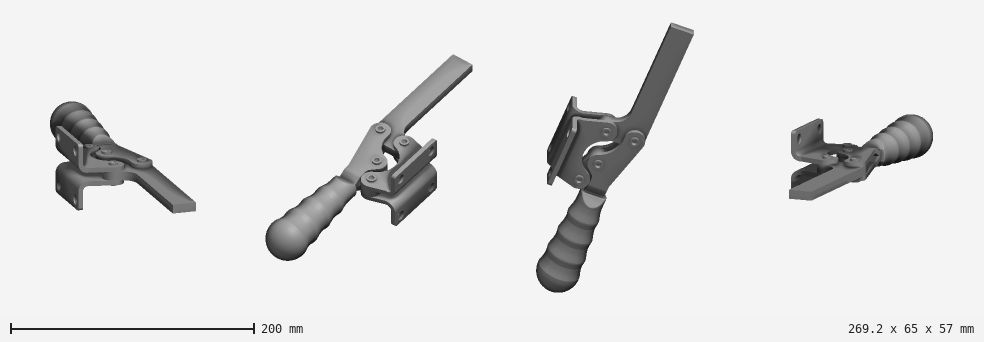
import cadquery as cq
import math


overall_length = 269.2
overall_height = 65.0
base_size = 57.0
handle_end_x = -133.8
bar_end_x = handle_end_x + overall_length

sheet = 4.0
bar_thickness = 7.5
plate_inner_z = bar_thickness / 2
plate_outer_z = plate_inner_z + sheet

ear_radius = 9.0
rear_base_pivot = (-24.8, 27.2)
front_base_pivot = (25.3, 31.5)
lever_link_pivot = (-5.7, 36.3)
lever_bar_pivot = (25.3, overall_height - ear_radius)

bend_radius = 8.0
flank_start_y = 9.7
valley_radius = 18.3
flange_corner_radius = 2.7
mount_hole_diameter = 8.5
mount_hole_pitch_x = 41.2
mount_hole_pitch_z = 42.0

neck_bottom_y = 36.3
neck_top_y = 52.5
bend_low_x = -34.2
bend_high_x = -28.0
plate_start_x = -26.0
bend_round = 5.5
top_slope_start_x = -23.0
lever_hollow_radius = 20.7
lever_inner_fillet = 4.0

bar_depth = 20.2
bar_end_radius = 8.5
bar_heel_fillet = 13.2

rivet_head_radius = 4.0
rivet_head_height = 2.0
rivet_dimple_radius = 2.5

grip_axis_y = 44.7
knob_radius = 18.3
knob_end_x = -113.5
valley_start_x = -102.5
valley_start_radius = 16.1
rib_count = 3
rib_pitch = 18.8
taper_per_rib = 1.55
rib_crest_start = 4.8
rib_crest_end = 6.2
rib_end = 8.3
rib_crest_rise = 0.67
rib_end_rise = 0.13
grip_end_x = -36.3
grip_end_round = 1.0
grip_bevel_start_x = -44.5
grip_bevel_end_z = 5.5
neck_insert = 5.5


def polar(center, radius, angle):
    """Point at an angle (radians) on a circle."""
    return (center[0] + radius * math.cos(angle), center[1] + radius * math.sin(angle))


def direction(start, end):
    """Angle of the line from start to end."""
    return math.atan2(end[1] - start[1], end[0] - start[0])


def tangent_angle(center, radius, point, side):
    """Angle on the circle where a line from an outside point touches it."""
    spread = math.acos(radius / math.dist(center, point))
    return direction(center, point) + side * spread


def both_sides(body):
    """The body together with its mirror image about Z = 0."""
    return body.union(body.mirror("XY"))


def make_base_side():
    half = base_size / 2
    rear, front = rear_base_pivot, front_base_pivot

    half_span = math.dist(rear, front) / 2
    rise = math.sqrt((valley_radius + ear_radius) ** 2 - half_span ** 2)
    middle = ((rear[0] + front[0]) / 2, (rear[1] + front[1]) / 2)
    valley_axis = direction(rear, front) + math.pi / 2
    valley = polar(middle, rise, valley_axis)

    rear_flank = tangent_angle(rear, ear_radius, (-half, flank_start_y), -1)
    front_flank = tangent_angle(front, ear_radius, (half, flank_start_y), 1)
    ear = (
        cq.Workplane("XY", origin=(0, 0, plate_inner_z))
        .moveTo(-half, bend_radius)
        .lineTo(-half, flank_start_y)
        .lineTo(*polar(rear, ear_radius, rear_flank))
        .threePointArc(
            polar(rear, ear_radius, math.radians(120)),
            polar(rear, ear_radius, direction(rear, valley)),
        )
        .threePointArc(
            polar(valley, valley_radius, valley_axis + math.pi),
            polar(front, ear_radius, direction(front, valley)),
        )
        .threePointArc(
            polar(front, ear_radius, math.radians(60)),
            polar(front, ear_radius, front_flank),
        )
        .lineTo(half, flank_start_y)
        .lineTo(half, bend_radius)
        .close()
        .extrude(sheet)
    )

    bend_center = (bend_radius, plate_inner_z + bend_radius)
    bend_middle = math.radians(225)
    inner_radius = bend_radius - sheet
    flange = (
        cq.Workplane("YZ", origin=(-half, 0, 0))
        .moveTo(bend_radius, plate_inner_z)
        .threePointArc(polar(bend_center, bend_radius, bend_middle), (0, bend_center[1]))
        .lineTo(0, half)
        .lineTo(sheet, half)
        .lineTo(sheet, bend_center[1])
        .threePointArc(polar(bend_center, inner_radius, bend_middle), (bend_radius, plate_outer_z))
        .close()
        .extrude(base_size)
    )
    flange = flange.faces(">Z").edges("|Y").fillet(flange_corner_radius)
    holes = (
        cq.Workplane("XZ")
        .pushPoints([(side * mount_hole_pitch_x / 2, mount_hole_pitch_z / 2) for side in (-1, 1)])
        .circle(mount_hole_diameter / 2)
        .extrude(-sheet)
    )
    return ear.union(flange.cut(holes))


def make_lever_side():
    end_bottom_y = lever_bar_pivot[1] - ear_radius
    hollow_y = end_bottom_y - lever_hollow_radius
    reach = lever_hollow_radius + ear_radius
    hollow_x = lever_link_pivot[0] + math.sqrt(reach ** 2 - (lever_link_pivot[1] - hollow_y) ** 2)
    hollow = (hollow_x, hollow_y)
    hollow_end = direction(hollow, lever_link_pivot)

    slope_start = (top_slope_start_x, neck_top_y)
    slope_end = tangent_angle(lever_bar_pivot, ear_radius, slope_start, -1)

    link_low = polar(lever_link_pivot, ear_radius, math.radians(225))
    corner = (link_low[0] - (neck_bottom_y - link_low[1]), neck_bottom_y)

    plate = (
        cq.Workplane("XY", origin=(0, 0, plate_inner_z))
        .moveTo(plate_start_x, neck_top_y)
        .lineTo(*slope_start)
        .lineTo(*polar(lever_bar_pivot, ear_radius, slope_end))
        .threePointArc(
            polar(lever_bar_pivot, ear_radius, 0),
            (lever_bar_pivot[0], end_bottom_y),
        )
        .lineTo(hollow_x, end_bottom_y)
        .threePointArc(
            polar(hollow, lever_hollow_radius, (hollow_end + math.pi / 2) / 2),
            polar(hollow, lever_hollow_radius, hollow_end),
        )
        .threePointArc(polar(lever_link_pivot, ear_radius, math.radians(280)), link_low)
        .lineTo(*corner)
        .lineTo(plate_start_x, neck_bottom_y)
        .close()
        .extrude(sheet)
    )
    corner_point = (*corner, plate_inner_z + sheet / 2)
    plate = plate.edges(cq.NearestToPointSelector(corner_point)).fillet(lever_inner_fillet)

    bend_angle = math.atan2(plate_inner_z, bend_high_x - bend_low_x)
    inner_shift = sheet * math.tan(bend_angle / 2)
    neck_start_x = grip_end_x - neck_insert
    neck = (
        cq.Workplane("XZ", origin=(0, neck_bottom_y, 0))
        .polyline(
            [
                (neck_start_x, 0),
                (neck_start_x, sheet),
                (bend_low_x, sheet),
                (bend_high_x, plate_outer_z),
                (plate_start_x, plate_outer_z),
                (plate_start_x, plate_inner_z),
                (bend_high_x + inner_shift, plate_inner_z),
                (bend_low_x + inner_shift, 0),
            ]
        )
        .close()
        .extrude(neck_bottom_y - neck_top_y)
    )
    bend_edge = (bend_high_x, (neck_bottom_y + neck_top_y) / 2, plate_outer_z)
    neck = neck.edges(cq.NearestToPointSelector(bend_edge)).fillet(bend_round)
    return plate.union(neck)


def make_link():
    length = math.dist(rear_base_pivot, lever_link_pivot)
    angle = math.degrees(direction(rear_base_pivot, lever_link_pivot))
    return (
        cq.Workplane("XY", origin=(*rear_base_pivot, 0))
        .transformed(rotate=(0, 0, angle))
        .center(length / 2, 0)
        .slot2D(length + 2 * ear_radius, 2 * ear_radius)
        .extrude(plate_inner_z, both=True)
    )


def make_bar():
    heel_left_x = front_base_pivot[0] - bar_end_radius
    heel_right_x = front_base_pivot[0] + bar_end_radius
    bar_bottom_y = overall_height - bar_depth
    fillet_center = (heel_right_x + bar_heel_fillet, bar_bottom_y - bar_heel_fillet)
    heel_bottom_y = front_base_pivot[1] - bar_end_radius
    corner_center = (front_base_pivot[0], overall_height - bar_end_radius)
    return (
        cq.Workplane("XY")
        .moveTo(corner_center[0], overall_height)
        .lineTo(bar_end_x, overall_height)
        .lineTo(bar_end_x, bar_bottom_y)
        .lineTo(fillet_center[0], bar_bottom_y)
        .threePointArc(
            polar(fillet_center, bar_heel_fillet, math.radians(135)),
            (heel_right_x, fillet_center[1]),
        )
        .lineTo(heel_right_x, front_base_pivot[1])
        .threePointArc(
            (front_base_pivot[0], heel_bottom_y),
            (heel_left_x, front_base_pivot[1]),
        )
        .lineTo(heel_left_x, corner_center[1])
        .threePointArc(
            polar(corner_center, bar_end_radius, math.radians(135)),
            (corner_center[0], overall_height),
        )
        .close()
        .extrude(plate_inner_z, both=True)
    )


def make_rivet(pivot):
    head_z = plate_outer_z + rivet_head_height
    shank = (
        cq.Workplane("XY", origin=(*pivot, 0))
        .circle(rivet_head_radius)
        .extrude(head_z, both=True)
    )
    for side in (-1, 1):
        dimple = cq.Workplane("XY", origin=(*pivot, side * head_z)).sphere(rivet_dimple_radius)
        shank = shank.cut(dimple)
    return shank


def make_grip():
    knob_center = (handle_end_x + knob_radius, 0)
    knob_end_radius = math.sqrt(knob_radius ** 2 - (knob_end_x - knob_center[0]) ** 2)
    profile = (
        cq.Workplane("XY")
        .moveTo(handle_end_x, 0)
        .threePointArc(
            polar(knob_center, knob_radius, math.radians(135)),
            (knob_end_x, knob_end_radius),
        )
    )
    start_x, start_radius = knob_end_x, knob_end_radius
    for index in range(rib_count + 1):
        low_x = valley_start_x + index * rib_pitch
        low_radius = valley_start_radius - index * taper_per_rib
        hollow_middle = ((start_x + low_x) / 2, low_radius + (start_radius - low_radius) / 4)
        profile = profile.threePointArc(hollow_middle, (low_x, low_radius))
        if index < rib_count:
            crest_radius = low_radius + rib_crest_rise
            start_x = low_x + rib_end
            start_radius = low_radius + rib_end_rise
            profile = (
                profile
                .lineTo(low_x + rib_crest_start, crest_radius)
                .lineTo(low_x + rib_crest_end, crest_radius)
                .lineTo(start_x, start_radius)
            )
    grip = (
        profile
        .lineTo(grip_end_x, low_radius)
        .lineTo(grip_end_x, 0)
        .close()
        .revolve(360, (0, 0), (1, 0))
        .faces(">X").edges()
        .fillet(grip_end_round)
    )

    bevel = (
        cq.Workplane("XZ")
        .polyline(
            [
                (grip_bevel_start_x, low_radius),
                (grip_end_x, grip_bevel_end_z),
                (grip_end_x, low_radius),
            ]
        )
        .close()
        .extrude(knob_radius, both=True)
    )
    grip = grip.cut(both_sides(bevel))
    beveled_length = grip_end_x - grip_bevel_start_x
    for side in (-1, 1):
        bevel_normal = cq.Vector(low_radius - grip_bevel_end_z, 0, side * beveled_length)
        grip = grip.faces(cq.ParallelDirSelector(bevel_normal)).edges().fillet(grip_end_round)
    return grip.translate((0, grip_axis_y, 0))


result = both_sides(make_base_side())
for body in (make_link(), make_bar(), both_sides(make_lever_side()), make_grip()):
    result = result.union(body)
for pivot in (rear_base_pivot, front_base_pivot, lever_link_pivot, lever_bar_pivot):
    result = result.union(make_rivet(pivot))